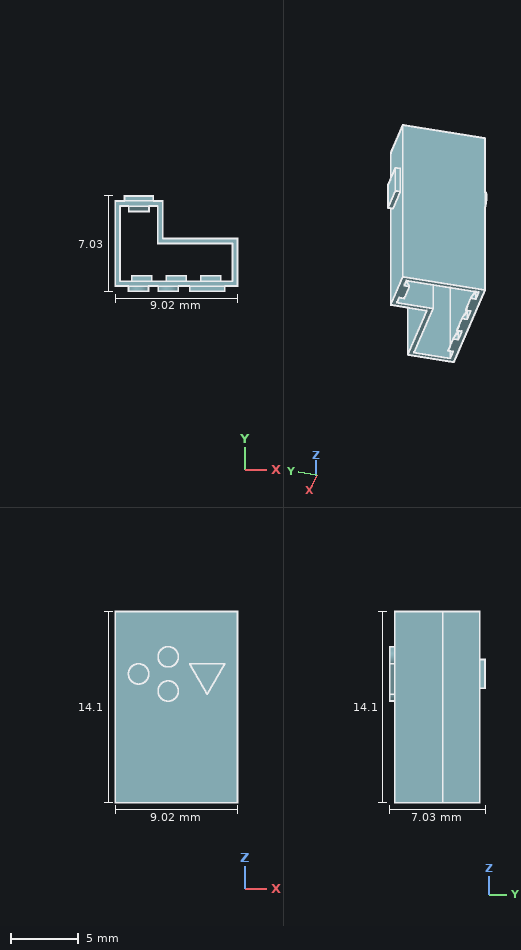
import cadquery as cq
import math

height = 14.1
overall_width = 9.02
wall = 0.38
cell = (overall_width - 2 * wall) / 3
arm = cell + 2 * wall
depth = 2 * cell + 2 * wall

mark_thickness = 0.38
mark_z = 9.49
dot_diameter = 1.5
dot_ring_radius = 1.45
dot_ring_x = 3.19
triangle_radius = 1.5
triangle_x = 6.78
square_side = 2.15

catch_width = 1.5
catch_reach = 0.4
catch_height = 0.85
catch_pitch = 2.54


def l_prism(inset):
    """Full-height L-shaped prism, with its outline moved inwards by inset."""
    near = inset
    far_x = overall_width - inset
    far_y = depth - inset
    inner = arm - inset
    outline = [
        (near, near),
        (far_x, near),
        (far_x, inner),
        (inner, inner),
        (inner, far_y),
        (near, far_y),
    ]
    return cq.Workplane("XY").polyline(outline).close().extrude(height)


def front_wall_plane(x):
    """Plane on the front wall, facing outwards, centred on a mark."""
    return cq.Workplane("XZ", origin=(x, 0, mark_z))


def dots():
    """Three round marks at the corners of an equilateral triangle pointing left."""
    centres = []
    for degrees in (60, 180, 300):
        angle = math.radians(degrees)
        centres.append((dot_ring_radius * math.cos(angle), dot_ring_radius * math.sin(angle)))
    return front_wall_plane(dot_ring_x).pushPoints(centres).circle(dot_diameter / 2).extrude(mark_thickness)


def triangle():
    """Equilateral triangular mark pointing down."""
    half_side = triangle_radius * math.cos(math.radians(30))
    top = triangle_radius * math.sin(math.radians(30))
    corners = [(-half_side, top), (half_side, top), (0, -triangle_radius)]
    return front_wall_plane(triangle_x).polyline(corners).close().extrude(mark_thickness)


def square():
    """Square mark on the end wall of the rear arm."""
    plane = cq.Workplane("XZ", origin=(arm / 2, depth, mark_z))
    return plane.rect(square_side, square_side).extrude(-mark_thickness)


def catch(x, wall_face_y, inward):
    """Wedge on an inner wall face, flat below and tapering to nothing above; inward is +1 or -1 along Y."""
    buried_y = wall_face_y - inward * wall / 2
    profile = [
        (buried_y, 0),
        (wall_face_y + inward * catch_reach, 0),
        (wall_face_y, catch_height),
        (buried_y, catch_height),
    ]
    plane = cq.Workplane("YZ", origin=(x, 0, 0))
    return plane.polyline(profile).close().extrude(catch_width / 2, both=True)


result = l_prism(0).cut(l_prism(wall))
result = result.union(dots()).union(triangle()).union(square())

for step in (-1, 0, 1):
    catch_x = overall_width / 2 + step * catch_pitch
    result = result.union(catch(catch_x, wall, 1))
result = result.union(catch(arm / 2, depth - wall, -1))